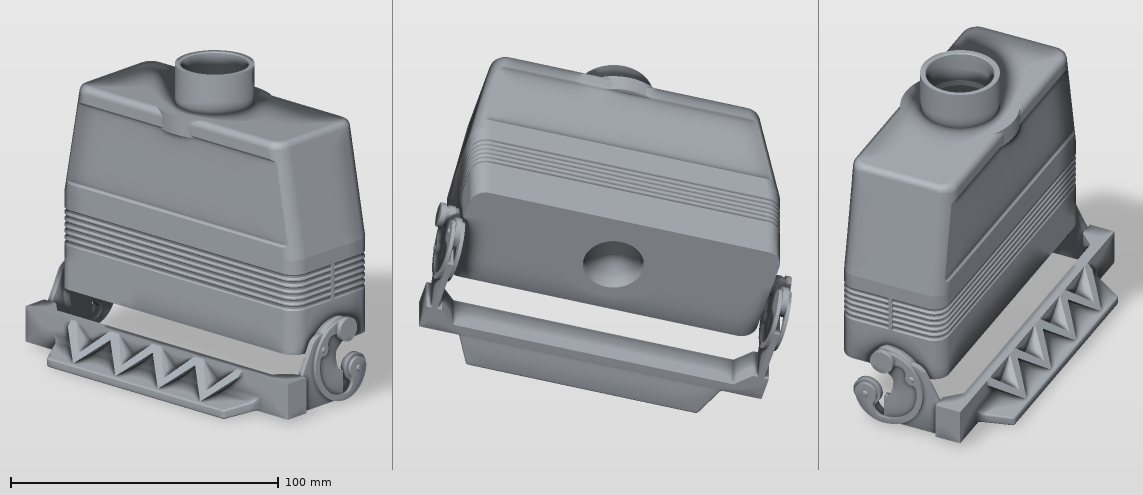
import cadquery as cq
import math


HOOD_WIDTH = 120.2
HOOD_DEPTH = 42.8
HOOD_TOP = 81.9
TAPER_START = 37.5
TOP_WIDTH = 103.9
CORNER_RADIUS = 6.1
TOP_ROUND = 2.7

RECESS_DEPTH = 0.8
RECESS_BOTTOM = 41.9
RECESS_BEVEL = 1.0
RECESS_TOP = 74.5

PAD_RADIUS = 22.5
NECK_RADIUS = 15.0
NECK_TOP = 97.0
BORE_RADIUS = 12.8
BORE_CHAMFER = 0.4
LEDGE_DEPTH = 12.1
PASSAGE_RADIUS = 11.4

GROOVE_COUNT = 6
GROOVE_TOP = 31.7
GROOVE_PITCH = 2.5
GROOVE_WIDTH = 2.0
GROOVE_DEPTH = 0.7
GROOVE_GAP = 1.6

BAR_HALF_WIDTH = 66.5
BAR_TOP = -6.4
BAR_BOTTOM = -20.5
BAR_FRONT = -32.1
BAR_BACK = -27.9
BAR_END_BACK = -21.9
BAR_END_WIDTH = 6.1
BAR_RAMP = BAR_BACK - BAR_END_BACK

LIP_FRONT = -44.2
LIP_ROOT_TOP = -16.5
LIP_TIP_TOP = -18.9
LIP_TIP_BOTTOM = -22.6
LIP_ROOT_HALF_WIDTH = 51.1
LIP_TIP_HALF_WIDTH = 44.9
LIP_CORNER_RADIUS = 1.6
LIP_EDGE_ROUND = 0.8
LIP_ROOT_ROUND = 2.5

RIB_COUNT = 4
RIB_PITCH = 21.5
RIB_HALF_WIDTH = 11.0
RIB_TIP_Z = -18.4
RIB_TIP_Y = -43.2
RIB_SLOPE = 0.89
RIB_THICKNESS = 3.0
RIB_DRAFT = 1.4

PLATE_INNER_X = 62.3
PLATE_OUTER_X = 64.6
COVER_INNER_X = 60.9
COVER_OUTER_X = 66.0
RIVET_OUTER_X = 66.5
PIVOT_OUTER_X = 68.0
PIVOT = (0, 7.3)
PIVOT_CAP_RADIUS = 4.6
PIVOT_PIN_RADIUS = 2.6
PLATE_PIVOT_RADIUS = 4.2
COVER_PIVOT_RADIUS = 3.8
PIN_OVERLAP = 1.4

ARM_CENTER = (0, -4.9)
ARM_RADIUS = PIVOT[1] + COVER_PIVOT_RADIUS - ARM_CENTER[1]
ARM_INNER_RADIUS = 13.7
HOOK_CENTER = (7.6, -10.0)
HOOK_RADIUS = 4.4
HOOK_OUTER_RADIUS = 12.1
HOOK_THROAT_RADIUS = 4.8
HOOK_END_ANGLE = 219
ROLLER_RADIUS = 5.6
RIVET = (-11.5, 1.8)
RIVET_RADIUS = 1.2
RIVET_TOP_RADIUS = 0.8
RIVET_PAD_RADIUS = 2.6


def polar(center, radius, degrees):
    """Point on a circle; the angle runs from +Y towards +Z."""
    angle = math.radians(degrees)
    return (center[0] + radius * math.cos(angle), center[1] + radius * math.sin(angle))


def hood_shell():
    """Outer block: straight at the bottom, tapered in X above, with rounded corners and top rim."""
    block = (
        cq.Workplane("XZ")
        .polyline([
            (-HOOD_WIDTH / 2, 0), (HOOD_WIDTH / 2, 0),
            (HOOD_WIDTH / 2, TAPER_START), (TOP_WIDTH / 2, HOOD_TOP),
            (-TOP_WIDTH / 2, HOOD_TOP), (-HOOD_WIDTH / 2, TAPER_START),
        ])
        .close()
        .extrude(HOOD_DEPTH / 2, both=True)
    )
    block = block.edges("not(|X or |Y)").fillet(CORNER_RADIUS)
    return block.faces(">Z").edges().fillet(TOP_ROUND)


def recess(side):
    """Cutter for the panel on one long face, with sloped upper and lower borders."""
    face = side * HOOD_DEPTH / 2
    floor = face - side * RECESS_DEPTH
    return (
        cq.Workplane("YZ")
        .polyline([
            (face, RECESS_BOTTOM), (floor, RECESS_BOTTOM + RECESS_BEVEL), (floor, RECESS_TOP),
            (face, RECESS_TOP + RECESS_BEVEL),
        ])
        .close()
        .extrude(HOOD_WIDTH / 2, both=True)
    )


def groove(top):
    """Cutter for one groove with 45 degree flanks, interrupted at the middle of each end."""
    floor_height = GROOVE_WIDTH - 2 * GROOVE_DEPTH

    def core(width_inset, z, height, taper):
        return (
            cq.Workplane("XY", origin=(0, 0, z))
            .sketch()
            .rect(HOOD_WIDTH - 2 * width_inset, HOOD_DEPTH - 2 * width_inset)
            .vertices()
            .fillet(CORNER_RADIUS - width_inset)
            .finalize()
            .extrude(height, taper=taper)
        )

    bottom = top - GROOVE_WIDTH
    ring = (
        cq.Workplane("XY", origin=(0, 0, bottom))
        .rect(HOOD_WIDTH + GROOVE_WIDTH, HOOD_DEPTH + GROOVE_WIDTH)
        .extrude(GROOVE_WIDTH)
        .cut(core(0, bottom, GROOVE_DEPTH, 45))
        .cut(core(GROOVE_DEPTH, bottom + GROOVE_DEPTH, floor_height, 0))
        .cut(core(GROOVE_DEPTH, top - GROOVE_DEPTH, GROOVE_DEPTH, -45))
    )
    gap = cq.Workplane("XY").box(2 * HOOD_WIDTH, GROOVE_GAP, 2 * HOOD_TOP)
    return ring.cut(gap)


def bore():
    """Stepped bore with a chamfered mouth and a conical ledge."""
    ledge = NECK_TOP - LEDGE_DEPTH
    step = BORE_RADIUS - PASSAGE_RADIUS
    return (
        cq.Workplane("XZ")
        .polyline([
            (0, 0), (PASSAGE_RADIUS, 0), (PASSAGE_RADIUS, ledge - step),
            (BORE_RADIUS, ledge), (BORE_RADIUS, NECK_TOP - BORE_CHAMFER),
            (BORE_RADIUS + BORE_CHAMFER, NECK_TOP), (0, NECK_TOP),
        ])
        .close()
        .revolve(360, (0, 0, 0), (0, 1, 0))
    )


def make_hood():
    hood = hood_shell().cut(recess(1)).cut(recess(-1))
    for index in range(GROOVE_COUNT):
        hood = hood.cut(groove(GROOVE_TOP - index * GROOVE_PITCH))
    pad = (
        cq.Workplane("XY", origin=(0, 0, RECESS_TOP))
        .circle(PAD_RADIUS)
        .extrude(HOOD_TOP - RECESS_TOP)
    )
    neck = (
        cq.Workplane("XY", origin=(0, 0, RECESS_TOP))
        .circle(NECK_RADIUS)
        .extrude(NECK_TOP - RECESS_TOP)
    )
    return hood.union(pad).union(neck).cut(bore())


def lever_bar():
    """Straight bar with thicker ends, reached over 45 degree ramps."""
    thick = BAR_HALF_WIDTH - BAR_END_WIDTH
    thin = thick + BAR_RAMP
    return (
        cq.Workplane("XY", origin=(0, 0, BAR_BOTTOM))
        .polyline([
            (-BAR_HALF_WIDTH, BAR_FRONT), (BAR_HALF_WIDTH, BAR_FRONT),
            (BAR_HALF_WIDTH, BAR_END_BACK), (thick, BAR_END_BACK), (thin, BAR_BACK),
            (-thin, BAR_BACK), (-thick, BAR_END_BACK), (-BAR_HALF_WIDTH, BAR_END_BACK),
        ])
        .close()
        .extrude(BAR_TOP - BAR_BOTTOM)
    )


def thumb_lip():
    """Sloping plate, narrower towards its rounded free edge, flaring into the bar face."""
    flange = LIP_ROOT_HALF_WIDTH + 2 * LIP_ROOT_ROUND
    plate = (
        cq.Workplane("YZ")
        .polyline([
            (BAR_BACK, BAR_TOP), (BAR_FRONT, BAR_TOP), (BAR_FRONT, LIP_ROOT_TOP),
            (LIP_FRONT, LIP_TIP_TOP), (LIP_FRONT, LIP_TIP_BOTTOM),
            (BAR_FRONT, BAR_BOTTOM), (BAR_BACK, BAR_BOTTOM),
        ])
        .close()
        .extrude(flange, both=True)
        .edges(cq.selectors.NearestToPointSelector((0, BAR_FRONT, LIP_ROOT_TOP)))
        .fillet(LIP_ROOT_ROUND)
    )
    outline = (
        cq.Workplane("XY", origin=(0, 0, LIP_TIP_BOTTOM))
        .polyline([
            (-flange, BAR_BACK), (-flange, BAR_FRONT), (-LIP_ROOT_HALF_WIDTH, BAR_FRONT),
            (-LIP_TIP_HALF_WIDTH, LIP_FRONT), (LIP_TIP_HALF_WIDTH, LIP_FRONT),
            (LIP_ROOT_HALF_WIDTH, BAR_FRONT), (flange, BAR_FRONT), (flange, BAR_BACK),
        ])
        .close()
        .extrude(BAR_TOP - LIP_TIP_BOTTOM)
        .edges("|Z and <Y")
        .fillet(LIP_CORNER_RADIUS)
    )
    for side in (-1, 1):
        root = cq.selectors.NearestToPointSelector(
            (side * LIP_ROOT_HALF_WIDTH, BAR_FRONT, (BAR_TOP + LIP_TIP_BOTTOM) / 2))
        outline = outline.edges(root).fillet(LIP_ROOT_ROUND)
    lip = plate.intersect(outline)
    free_edges = cq.selectors.BoxSelector(
        (-LIP_ROOT_HALF_WIDTH, LIP_FRONT - LIP_EDGE_ROUND, LIP_TIP_BOTTOM - LIP_EDGE_ROUND),
        (LIP_ROOT_HALF_WIDTH, BAR_FRONT - LIP_ROOT_ROUND, BAR_TOP))
    return lip.edges(free_edges).edges("not(|Z)").fillet(LIP_EDGE_ROUND)


def rib(center_x):
    """V-shaped rib with a sloping front, its pocket open at the top."""
    reach = BAR_FRONT - RIB_TIP_Y
    rise = RIB_SLOPE * RIB_HALF_WIDTH

    wedge = (
        cq.Workplane("YZ", origin=(center_x - RIB_HALF_WIDTH, 0, 0))
        .polyline([(BAR_FRONT, BAR_TOP), (RIB_TIP_Y, RIB_TIP_Z), (BAR_FRONT, RIB_TIP_Z)])
        .close()
        .extrude(2 * RIB_HALF_WIDTH)
    )
    outline = (
        cq.Workplane("XZ", origin=(center_x, BAR_FRONT, 0))
        .polyline([
            (0, RIB_TIP_Z), (RIB_HALF_WIDTH, RIB_TIP_Z + rise), (RIB_HALF_WIDTH, BAR_TOP),
            (-RIB_HALF_WIDTH, BAR_TOP), (-RIB_HALF_WIDTH, RIB_TIP_Z + rise),
        ])
        .close()
        .extrude(reach)
    )

    def pocket_section(distance, floor):
        mouth = (BAR_TOP - floor) / RIB_SLOPE
        return [
            cq.Vector(center_x, BAR_FRONT - distance, floor),
            cq.Vector(center_x + mouth, BAR_FRONT - distance, BAR_TOP),
            cq.Vector(center_x - mouth, BAR_FRONT - distance, BAR_TOP),
        ]

    pocket_floor = RIB_TIP_Z + RIB_THICKNESS
    sections = [
        cq.Wire.makePolygon(pocket_section(0, pocket_floor + RIB_DRAFT), close=True),
        cq.Wire.makePolygon(pocket_section(reach, pocket_floor), close=True),
    ]
    pocket = cq.Workplane(cq.Solid.makeLoft(sections, True))
    return wedge.intersect(outline).cut(pocket)


def make_bar():
    bar = lever_bar().union(thumb_lip())
    for index in range(RIB_COUNT):
        bar = bar.union(rib((index - (RIB_COUNT - 1) / 2) * RIB_PITCH))
    return bar


def arm_cover(inner_x, outer_x):
    """Cover plate: a crescent from the pivot down and around to the hook."""
    arm_bottom = (0, ARM_CENTER[1] - ARM_RADIUS)
    hook_arc_center = (0, arm_bottom[1] + HOOK_OUTER_RADIUS)
    hook_angle = math.degrees(math.atan2(
        HOOK_CENTER[1] - hook_arc_center[1], HOOK_CENTER[0] - hook_arc_center[0]))
    crescent_bottom = (0, ARM_CENTER[1] - ARM_INNER_RADIUS)
    throat_center = (0, crescent_bottom[1] + HOOK_THROAT_RADIUS)
    return (
        cq.Workplane("YZ", origin=(inner_x, 0, 0))
        .moveTo(*polar(ARM_CENTER, ARM_RADIUS, 90))
        .threePointArc(polar(ARM_CENTER, ARM_RADIUS, 180), arm_bottom)
        .threePointArc(
            polar(hook_arc_center, HOOK_OUTER_RADIUS, (hook_angle - 90) / 2),
            polar(HOOK_CENTER, HOOK_RADIUS, hook_angle))
        .threePointArc(
            polar(HOOK_CENTER, HOOK_RADIUS, 90),
            polar(HOOK_CENTER, HOOK_RADIUS, HOOK_END_ANGLE))
        .threePointArc(polar(throat_center, HOOK_THROAT_RADIUS, -45), crescent_bottom)
        .threePointArc(
            polar(ARM_CENTER, ARM_INNER_RADIUS, 220), polar(ARM_CENTER, ARM_INNER_RADIUS, 170))
        .threePointArc((-12.9, -1.1), polar(RIVET, RIVET_PAD_RADIUS, 270))
        .threePointArc(polar(RIVET, RIVET_PAD_RADIUS, 320), polar(RIVET, RIVET_PAD_RADIUS, 20))
        .threePointArc((-8.2, 5.6), (-6.1, 6.4))
        .lineTo(*polar(PIVOT, COVER_PIVOT_RADIUS, 195))
        .threePointArc(
            polar(PIVOT, COVER_PIVOT_RADIUS, 320), polar(PIVOT, COVER_PIVOT_RADIUS, 90))
        .close()
        .extrude(outer_x - inner_x)
    )


def arm_plate():
    """Plate joining the pivot to the thick end of the bar, with a notch behind the hook."""
    return (
        cq.Workplane("YZ", origin=(PLATE_INNER_X, 0, 0))
        .moveTo(*polar(PIVOT, PLATE_PIVOT_RADIUS, 95))
        .threePointArc((-5.5, 10.5), (-10.3, 7.3))
        .threePointArc((-13.9, 6.5), (-15.8, 5.0))
        .lineTo(BAR_END_BACK, BAR_TOP)
        .lineTo(BAR_END_BACK, BAR_BOTTOM)
        .lineTo(0.4, BAR_BOTTOM)
        .lineTo(0.4, -9.5)
        .lineTo(-1.2, -9.5)
        .threePointArc((-2.7, -6.5), (-3.4, -2.7))
        .threePointArc((-3.1, -1.1), (-2.3, 0))
        .lineTo(*polar(PIVOT, PLATE_PIVOT_RADIUS, -50))
        .threePointArc(
            polar(PIVOT, PLATE_PIVOT_RADIUS, 30), polar(PIVOT, PLATE_PIVOT_RADIUS, 95))
        .close()
        .extrude(PLATE_OUTER_X - PLATE_INNER_X)
    )


def disc(center, radius, inner_x, outer_x):
    """Cylinder along X."""
    return (
        cq.Workplane("YZ", origin=(inner_x, 0, 0))
        .center(*center)
        .circle(radius)
        .extrude(outer_x - inner_x)
    )


def rivet_head(center):
    """Small cone standing on the outside of the cover."""
    head = cq.Solid.makeCone(
        RIVET_RADIUS, RIVET_TOP_RADIUS, RIVET_OUTER_X - COVER_OUTER_X,
        cq.Vector(COVER_OUTER_X, *center), cq.Vector(1, 0, 0))
    return cq.Workplane(head)


def make_arm():
    """Arm on the +X side, with the pivot pin running into the hood."""
    pin_start = HOOD_WIDTH / 2 - PIN_OVERLAP
    return (
        arm_plate()
        .union(arm_cover(COVER_INNER_X, PLATE_INNER_X))
        .union(arm_cover(PLATE_OUTER_X, COVER_OUTER_X))
        .union(disc(HOOK_CENTER, ROLLER_RADIUS, PLATE_INNER_X, PLATE_OUTER_X))
        .union(disc(PIVOT, PIVOT_PIN_RADIUS, pin_start, PIVOT_OUTER_X))
        .union(disc(PIVOT, PIVOT_CAP_RADIUS, COVER_OUTER_X, PIVOT_OUTER_X))
        .union(rivet_head(RIVET))
        .union(rivet_head(HOOK_CENTER))
    )


arm = make_arm()
result = make_hood().union(make_bar()).union(arm).union(arm.mirror("YZ"))